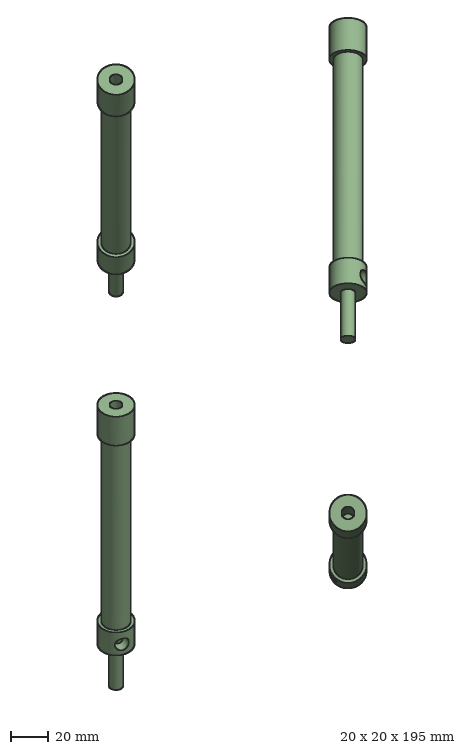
import cadquery as cq

total_length = 195.0
end_diameter = 20.0
cap_length = 20.0
cap_bore_diameter = 6.8
shaft_diameter = 16.0
collar_length = 16.0
rod_diameter = 8.0
rod_exposed_length = 29.0
cross_hole_diameter = 8.0
cross_hole_height = 7.2

rod_bottom = -total_length / 2
collar_bottom = rod_bottom + rod_exposed_length
collar_top = collar_bottom + collar_length
cap_top = total_length / 2
cap_bottom = cap_top - cap_length


def cylinder(diameter, bottom, top):
    """Solid cylinder on the Z axis between two levels."""
    return cq.Workplane("XY", origin=(0, 0, bottom)).circle(diameter / 2).extrude(top - bottom)


def make_cap():
    """Upper cap with a bore through it, closed below by the shaft."""
    bore = cylinder(cap_bore_diameter, cap_bottom, cap_top)
    return cylinder(end_diameter, cap_bottom, cap_top).cut(bore)


def make_shaft():
    """Plain shaft between the cap and the collar."""
    return cylinder(shaft_diameter, collar_top, cap_bottom)


def make_collar():
    """Lower collar with a rod socket and a cross hole from its +Y side to the socket."""
    socket = cylinder(rod_diameter, collar_bottom, collar_top)
    hole_center = (0, 0, collar_bottom + cross_hole_height)
    cross_hole = (
        cq.Workplane("XZ", origin=hole_center)
        .circle(cross_hole_diameter / 2)
        .extrude(-end_diameter / 2)
    )
    return cylinder(end_diameter, collar_bottom, collar_top).cut(socket).cut(cross_hole)


def make_rod():
    """Thin rod that fills the collar socket and sticks out below it."""
    return cylinder(rod_diameter, rod_bottom, collar_top)


cap = make_cap()
shaft = make_shaft()
collar = make_collar()
rod = make_rod()

result = cq.Compound.makeCompound([cap.val(), shaft.val(), collar.val(), rod.val()])